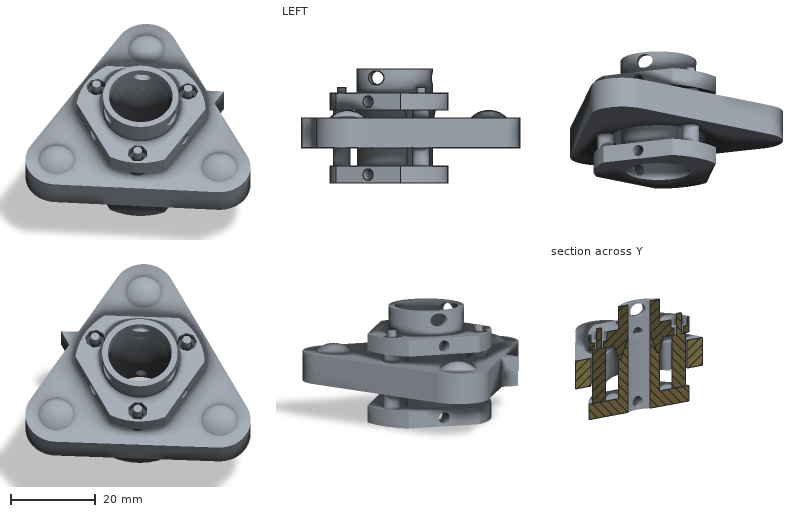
import cadquery as cq
import math

flange_height = 4.0
plate_bottom = 8.3
plate_top = 15.35
upper_flange_bottom = 17.2
pin_top = 22.45
assembly_top = 26.9
upper_flange_top = upper_flange_bottom + flange_height
plug_bottom = 13.7
plug_top = upper_flange_bottom + flange_height / 2

caster_circle_radius = 22.2
corner_radius = 7.3
plate_side = caster_circle_radius / 2 + corner_radius
pointer_tip = 21.9
pointer_half_width = (pointer_tip - plate_side) / math.tan(math.radians(60))

caster_diameter = 11.5
dome_radius = 4.2
dome_height = 1.75

bore_radius = 15.0 / 2
tube_radius = 17.85 / 2
plug_base_radius = 8.5
skirt_top_radius = 9.6
plate_opening_radius = 11.25

flange_radius = 15.3
flat_distance = 12.55
set_screw_diameter = 2.7
window_width = 4.15
window_height = 3.3
window_level = 24.8

pin_circle_radius = 12.5
shaft_diameter = 4.0
stem_diameter = 2.0
pin_plate_hole_diameter = 4.5
stem_hole_diameter = 2.7
well_across_flats = 4.4
well_depth = 2.1
pin_relief_radius = 4.1

pin_angles = [90, 210, 330]
caster_angles = [30, 150, 270]
flat_angles = [30, 150, 270]


def polar(radius, angle):
    """Point in XY at a radius and an angle in degrees."""
    return radius * math.cos(math.radians(angle)), radius * math.sin(math.radians(angle))


def cylinder(radius, bottom, top, center=(0, 0)):
    return cq.Workplane("XY", origin=(*center, bottom)).circle(radius).extrude(top - bottom)


def frustum(bottom_radius, top_radius, bottom, top):
    """Solid cone frustum on the main axis."""
    return (
        cq.Workplane("XZ")
        .moveTo(0, bottom)
        .lineTo(bottom_radius, bottom)
        .lineTo(top_radius, top)
        .lineTo(0, top)
        .close()
        .revolve(360, (0, 0, 0), (0, 1, 0))
    )


def plug_cone():
    """Taper shared by the plug and its socket, running out at the bore."""
    return frustum(plug_base_radius, bore_radius, plug_bottom, plug_top)


def pin_reliefs():
    """Clearance around the three pins between the flanges."""
    centers = [polar(pin_circle_radius, angle) for angle in pin_angles]
    return (
        cq.Workplane("XY", origin=(0, 0, flange_height))
        .pushPoints(centers)
        .circle(pin_relief_radius)
        .extrude(upper_flange_bottom - flange_height)
    )


def radial_hole(width, height, level, angle):
    """Elliptical cutter from the axis outwards through one wall."""
    return (
        cq.Workplane("YZ", origin=(0, 0, level))
        .ellipse(width / 2, height / 2)
        .extrude(flange_radius)
        .rotate((0, 0, 0), (0, 0, 1), angle)
    )


def set_screw_hole(level, angle):
    return radial_hole(set_screw_diameter, set_screw_diameter, level, angle)


def make_plate():
    """Rounded triangle with a pointer, open in the middle, and holes for the pins and casters."""
    corners = [polar(caster_circle_radius, angle) for angle in caster_angles]
    thickness = plate_top - plate_bottom
    plate = (
        cq.Workplane("XY", origin=(0, 0, plate_bottom))
        .polyline(corners)
        .close()
        .offset2D(corner_radius)
        .extrude(thickness)
    )
    pointer = (
        cq.Workplane("XY", origin=(0, 0, plate_bottom))
        .moveTo(-pointer_half_width, plate_side)
        .lineTo(pointer_half_width, plate_side)
        .lineTo(0, pointer_tip)
        .close()
        .extrude(thickness)
    )
    plate = plate.union(pointer)
    plate = plate.cut(cylinder(plate_opening_radius, plate_bottom, plate_top))
    for corner in corners:
        plate = plate.cut(cylinder(caster_diameter / 2, plate_bottom, plate_top, corner))
    for angle in pin_angles:
        center = polar(pin_circle_radius, angle)
        plate = plate.cut(cylinder(pin_plate_hole_diameter / 2, plate_bottom, plate_top, center))
    return plate


def make_flange(bottom):
    """Round disc with three flats, each with a set screw hole towards the axis."""
    flange = cylinder(flange_radius, bottom, bottom + flange_height)
    for angle in flat_angles:
        trim = (
            cq.Workplane("XY", origin=(flat_distance, 0, bottom))
            .rect(flange_radius, 2 * flange_radius)
            .extrude(flange_height)
            .translate((flange_radius / 2, 0, 0))
            .rotate((0, 0, 0), (0, 0, 1), angle)
        )
        flange = flange.cut(trim)
        flange = flange.cut(set_screw_hole(bottom + flange_height / 2, angle))
    return flange


def make_lower_ring():
    """Flange and tube, hollowed around the pins, with a tapered plug at the top."""
    tube = cylinder(tube_radius, flange_height, plug_bottom).union(plug_cone())
    tube = tube.cut(pin_reliefs())
    return make_flange(0).union(tube).cut(cylinder(bore_radius, 0, plug_top))


def pin_passage(angle):
    """Octagonal well over a round stem hole through the upper flange."""
    stem_hole = cylinder(stem_hole_diameter / 2, upper_flange_bottom, upper_flange_top)
    well = (
        cq.Workplane("XY", origin=(0, 0, upper_flange_top - well_depth))
        .polygon(8, well_across_flats, circumscribed=True)
        .extrude(well_depth)
    )
    passage = stem_hole.union(well).translate((pin_circle_radius, 0, 0))
    return passage.rotate((0, 0, 0), (0, 0, 1), angle)


def make_upper_ring():
    """Flange with a windowed collar above and a flared skirt below, socketed for the plug."""
    skirt = frustum(tube_radius, skirt_top_radius, plug_bottom, upper_flange_bottom)
    skirt = skirt.cut(pin_reliefs())
    ring = make_flange(upper_flange_bottom).union(skirt)
    ring = ring.union(cylinder(tube_radius, upper_flange_top, assembly_top))
    ring = ring.cut(cylinder(bore_radius, plug_bottom, assembly_top))
    ring = ring.cut(plug_cone())
    for angle in flat_angles:
        ring = ring.cut(radial_hole(window_width, window_height, window_level, angle))
    for angle in pin_angles:
        ring = ring.cut(pin_passage(angle))
    return ring


def make_caster(angle):
    """Cylinder flush with the plate, topped by a spherical dome."""
    sphere_radius = (dome_radius**2 + dome_height**2) / (2 * dome_height)
    sphere_level = plate_top + dome_height - sphere_radius
    center = polar(caster_circle_radius, angle)
    body = cylinder(caster_diameter / 2, plate_bottom, plate_top, center)
    dome = cq.Workplane("XY").sphere(sphere_radius).translate((*center, sphere_level))
    dome = dome.intersect(cylinder(dome_radius, plate_top, plate_top + dome_height, center))
    return body.union(dome)


def make_pin(angle):
    """Shaft standing between the two rings, with a thin stem through the upper ring."""
    center = polar(pin_circle_radius, angle)
    shaft = cylinder(shaft_diameter / 2, flange_height, upper_flange_bottom, center)
    stem = cylinder(stem_diameter / 2, upper_flange_bottom, pin_top, center)
    return shaft.union(stem)


plate = make_plate()
lower_ring = make_lower_ring()
upper_ring = make_upper_ring()
casters = [make_caster(angle) for angle in caster_angles]
pins = [make_pin(angle) for angle in pin_angles]

result = cq.Compound.makeCompound(
    [
        plate.val(),
        lower_ring.val(),
        upper_ring.val(),
        *[caster.val() for caster in casters],
        *[pin.val() for pin in pins],
    ]
)